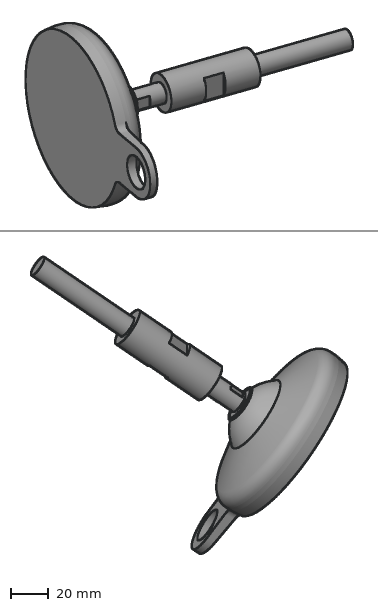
import cadquery as cq
import math


foot_radius = 50.0
sole_radius = 49.2
rim_low_y = 6.5
rim_high_y = 9.2
rim_round = 7.5
shoulder_radius = 21.7
shoulder_y = 24.2
dome_radius = 26.0
dome_center_y = 9.6
dome_base_radius = 20.5
dome_top_radius = 9.3
neck_top_y = 34.4

tab_half_width = 15.0
tab_length = 68.0
tab_hole_diameter = 19.0
tab_tip_height = 4.4
tab_slope = math.radians(3.0)
tab_fillet = 5.0

overall_length = 170.0
stud_diameter = 12.0
stud_flat_width = 10.0
stud_flat_length = 8.0
stud_flat_y = 41.0
lip_radius = 10.4
lip_thickness = 0.3
collar_radius = 9.0
collar_base_y = 35.0
collar_top_y = 35.5

sleeve_diameter = 22.0
sleeve_length = 55.0
sleeve_start_y = 55.0
sleeve_flat_width = 17.0
sleeve_flat_length = 12.0


def dome_y(radius):
    """Height of the spherical dome at a given distance from the axis."""
    return dome_center_y + math.sqrt(dome_radius**2 - radius**2)


def shoulder_tangent_angle():
    """Angle on the rim round where the line from the shoulder edge is tangent."""
    center_x = foot_radius - rim_round
    to_shoulder_x = shoulder_radius - center_x
    to_shoulder_y = shoulder_y - rim_high_y
    distance = math.hypot(to_shoulder_x, to_shoulder_y)
    return math.atan2(to_shoulder_y, to_shoulder_x) - math.acos(rim_round / distance)


def point_on_rim_round(angle):
    """Point on the rim round at an angle measured from the outward radial direction."""
    center_x = foot_radius - rim_round
    return center_x + rim_round * math.cos(angle), rim_high_y + rim_round * math.sin(angle)


def make_foot_disc():
    tangent_angle = shoulder_tangent_angle()
    dome_middle_radius = (dome_base_radius + dome_top_radius) / 2
    profile = (
        cq.Workplane("ZY")
        .lineTo(sole_radius, 0)
        .lineTo(foot_radius, rim_low_y)
        .lineTo(foot_radius, rim_high_y)
        .threePointArc(point_on_rim_round(tangent_angle / 2), point_on_rim_round(tangent_angle))
        .lineTo(shoulder_radius, shoulder_y)
        .lineTo(dome_base_radius, dome_y(dome_base_radius))
        .threePointArc(
            (dome_middle_radius, dome_y(dome_middle_radius)),
            (dome_top_radius, dome_y(dome_top_radius)),
        )
        .lineTo(dome_top_radius, neck_top_y)
        .lineTo(0, neck_top_y)
        .close()
    )
    return profile.revolve(360, (0, 0), (0, 1))


def make_tab():
    tip_x = tab_length + tab_half_width
    root_height = tab_tip_height + tip_x * math.tan(tab_slope)
    side = (
        cq.Workplane("XY")
        .polyline([(0, 0), (tip_x, 0), (tip_x, tab_tip_height), (0, root_height)])
        .close()
        .extrude(tab_half_width, both=True)
    )
    plan = (
        cq.Workplane("XZ")
        .moveTo(0, -tab_half_width)
        .lineTo(tab_length, -tab_half_width)
        .threePointArc((tip_x, 0), (tab_length, tab_half_width))
        .lineTo(0, tab_half_width)
        .close()
        .extrude(-root_height)
    )
    return side.intersect(plan)


def make_foot():
    """Disc and tab in one piece, with rounded inner corners and the tab hole."""
    foot = make_foot_disc().union(make_tab())
    root_x = math.sqrt(foot_radius**2 - tab_half_width**2)
    corner_reach = 1.5
    for side in (-1, 1):
        corner = cq.selectors.BoxSelector(
            (root_x - corner_reach, 0, side * tab_half_width - corner_reach),
            (root_x + corner_reach, rim_low_y, side * tab_half_width + corner_reach),
        )
        foot = foot.edges(corner).edges("not #Y").fillet(tab_fillet)
    hole = (
        cq.Workplane("XZ")
        .center(tab_length, 0)
        .circle(tab_hole_diameter / 2)
        .extrude(-rim_low_y)
    )
    return foot.cut(hole)


def cut_flats(body, diameter, flat_width, flat_length, middle_y):
    """Cut two parallel wrench flats facing -X and +X."""
    depth = (diameter - flat_width) / 2
    for side in (-1, 1):
        block = cq.Workplane("XY").box(depth, flat_length, diameter)
        body = body.cut(block.translate((side * (flat_width + depth) / 2, middle_y, 0)))
    return body


def make_stud():
    stud_radius = stud_diameter / 2
    lip_top_y = neck_top_y + lip_thickness
    stud = (
        cq.Workplane("ZY")
        .polyline([
            (0, neck_top_y),
            (lip_radius, neck_top_y),
            (lip_radius, lip_top_y),
            (collar_radius, lip_top_y),
            (collar_radius, collar_base_y),
            (stud_radius, collar_top_y),
            (stud_radius, overall_length),
            (0, overall_length),
        ])
        .close()
        .revolve(360, (0, 0), (0, 1))
    )
    return cut_flats(stud, stud_diameter, stud_flat_width, stud_flat_length, stud_flat_y)


def make_sleeve():
    sleeve = (
        cq.Workplane("ZX", origin=(0, sleeve_start_y, 0))
        .circle(sleeve_diameter / 2)
        .circle(stud_diameter / 2)
        .extrude(sleeve_length)
    )
    middle_y = sleeve_start_y + sleeve_length / 2
    return cut_flats(sleeve, sleeve_diameter, sleeve_flat_width, sleeve_flat_length, middle_y)


foot = make_foot()
stud = make_stud()
sleeve = make_sleeve()

result = cq.Compound.makeCompound([foot.val(), stud.val(), sleeve.val()])